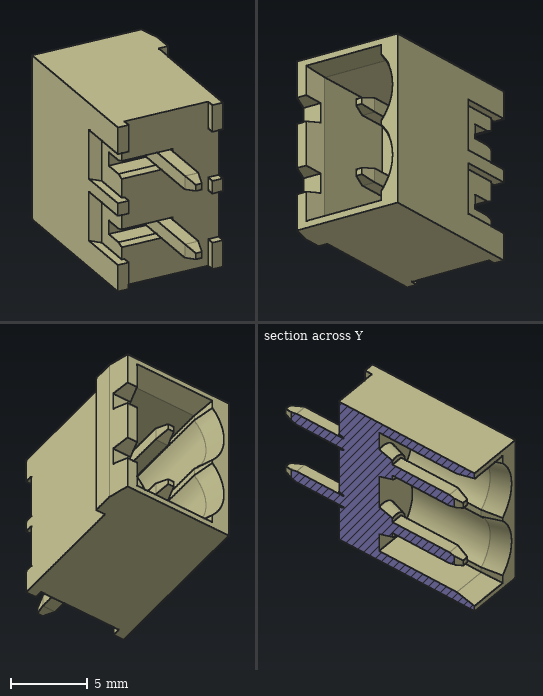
import cadquery as cq
import math


TOTAL_LENGTH = 16.0
HOUSING_LENGTH = 12.0
HOUSING_HEIGHT = 12.0
HOUSING_WIDTH = 7.8
RIDGE_HEIGHT = 0.7
RIDGE_LENGTH = 3.0
PITCH = 5.0
PIN_Y = 3.87
PIN_LEVELS = (-PITCH / 2, PITCH / 2)

LEAD_IN_LENGTH = 1.5
LEAD_IN_DRAFT = 0.4
CAVITY_DEPTH = 8.0
MOUTH_HEIGHT = 11.02
MOUTH_LOW_Y = 1.33
MOUTH_HIGH_Y = 7.35
LOBE_RADIUS = MOUTH_HIGH_Y - PIN_Y

NOTCH_MOUTH_WIDTH = 1.85
NOTCH_FLOOR_WIDTH = 1.38
NOTCH_DEPTH = 1.2

REAR_RECESS_DEPTH = 0.6
REAR_LIP = 0.8
WINDOW_START = 7.95
WINDOW_DEPTH = 0.6
WINDOW_SLOPE_LENGTH = 0.67
WINDOW_END_WALL = 1.95
WINDOW_RIB = 0.93

PIN_SIZE = 1.0
PIN_TIP_SIZE = 0.45
PIN_TAPER = 1.04
PIN_START = 1.09
SLOT_START = 9.58
SLOT_FLARE_LENGTH = 0.46
SLOT_FLARE_WIDTH = 1.31
COLLAR_BASE_RADIUS = 1.25
COLLAR_TOP_RADIUS = 0.91
COLLAR_HEIGHT = 1.12

RECESS_X = HOUSING_LENGTH - REAR_RECESS_DEPTH
RIDGE_Y = HOUSING_WIDTH + RIDGE_HEIGHT


def box(x_range, y_range, z_range):
    """Axis-aligned block given by its lower and upper limits."""
    (x0, x1), (y0, y1), (z0, z1) = x_range, y_range, z_range
    return cq.Workplane("XY").box(x1 - x0, y1 - y0, z1 - z0, centered=False).translate((x0, y0, z0))


def housing_block():
    """Outer body with the chamfered latch ridge, as one profile along Z."""
    profile = [
        (0, 0),
        (HOUSING_LENGTH, 0),
        (HOUSING_LENGTH, HOUSING_WIDTH),
        (RIDGE_LENGTH, HOUSING_WIDTH),
        (RIDGE_LENGTH, RIDGE_Y),
        (LEAD_IN_LENGTH, RIDGE_Y),
        (0, RIDGE_Y - LEAD_IN_DRAFT),
    ]
    return cq.Workplane("XY").polyline(profile).close().extrude(HOUSING_HEIGHT / 2, both=True)


def cavity_section(workplane, inset):
    """Cavity outline on a YZ plane, with every wall moved inward by the inset."""
    low_y = MOUTH_LOW_Y + inset
    high_y = MOUTH_HIGH_Y - inset
    top = MOUTH_HEIGHT / 2 - inset
    radius = LOBE_RADIUS - inset
    half_chord = math.sqrt(radius ** 2 - (PIN_Y - low_y) ** 2)
    section = workplane.moveTo(high_y, -top).lineTo(low_y, -top)
    for level in PIN_LEVELS:
        section = section.lineTo(low_y, level - half_chord)
        section = section.threePointArc((PIN_Y - radius, level), (low_y, level + half_chord))
    return section.lineTo(low_y, top).lineTo(high_y, top).close()


def cavity():
    """Flared mouth followed by the straight cavity."""
    mouth = cavity_section(cq.Workplane("YZ"), 0).workplane(offset=LEAD_IN_LENGTH)
    flare = cavity_section(mouth, LEAD_IN_DRAFT).loft(ruled=True)
    inner_plane = cq.Workplane("YZ", origin=(LEAD_IN_LENGTH, 0, 0))
    return flare.union(cavity_section(inner_plane, LEAD_IN_DRAFT).extrude(CAVITY_DEPTH - LEAD_IN_LENGTH))


def latch_notch(level):
    """Notch through the +Y wall, narrowing away from the mouth."""
    profile = [
        (0, level - NOTCH_MOUTH_WIDTH / 2),
        (NOTCH_DEPTH, level - NOTCH_FLOOR_WIDTH / 2),
        (NOTCH_DEPTH, level + NOTCH_FLOOR_WIDTH / 2),
        (0, level + NOTCH_MOUTH_WIDTH / 2),
    ]
    plane = cq.Workplane("XZ", origin=(0, RIDGE_Y, 0))
    return plane.polyline(profile).close().extrude(RIDGE_Y - PIN_Y)


def rear_recess():
    """Full-height step in the rear face between the two lips."""
    half_height = HOUSING_HEIGHT / 2
    return box(
        (RECESS_X, HOUSING_LENGTH),
        (REAR_LIP, HOUSING_WIDTH - REAR_LIP),
        (-half_height, half_height),
    )


def side_window(side):
    """Slope-ended window in the -Y side whose rear gap passes through both lips."""
    profile = [
        (WINDOW_START, 0),
        (WINDOW_START + WINDOW_SLOPE_LENGTH, WINDOW_DEPTH),
        (RECESS_X, WINDOW_DEPTH),
        (RECESS_X, HOUSING_WIDTH),
        (HOUSING_LENGTH, HOUSING_WIDTH),
        (HOUSING_LENGTH, 0),
    ]
    height = (HOUSING_HEIGHT - WINDOW_RIB) / 2 - WINDOW_END_WALL
    middle = side * (WINDOW_RIB + height) / 2
    plane = cq.Workplane("XY", origin=(0, 0, middle))
    return plane.polyline(profile).close().extrude(height / 2, both=True)


def pin_slot(level):
    """Slot from the window floor to the far side of the pin, flared at the rear."""
    profile = [
        (SLOT_START, level - PIN_SIZE / 2),
        (RECESS_X - SLOT_FLARE_LENGTH, level - PIN_SIZE / 2),
        (RECESS_X, level - SLOT_FLARE_WIDTH / 2),
        (RECESS_X, level + SLOT_FLARE_WIDTH / 2),
        (RECESS_X - SLOT_FLARE_LENGTH, level + PIN_SIZE / 2),
        (SLOT_START, level + PIN_SIZE / 2),
    ]
    return cq.Workplane("XZ").polyline(profile).close().extrude(-(PIN_Y + PIN_SIZE / 2))


def collar(level):
    """Conical collar around a pin on the cavity floor."""
    base = cq.Workplane("YZ", origin=(CAVITY_DEPTH, PIN_Y, level)).circle(COLLAR_BASE_RADIUS)
    return base.workplane(offset=-COLLAR_HEIGHT).circle(COLLAR_TOP_RADIUS).loft()


def pin(level):
    """Straight square pin with a tapered tip at each end."""
    def tip(shoulder_x, outward):
        base = cq.Workplane("YZ", origin=(shoulder_x, PIN_Y, level)).rect(PIN_SIZE, PIN_SIZE)
        return base.workplane(offset=outward * PIN_TAPER).rect(PIN_TIP_SIZE, PIN_TIP_SIZE).loft()

    shank_start = PIN_START + PIN_TAPER
    shank_end = TOTAL_LENGTH - PIN_TAPER
    shank_plane = cq.Workplane("YZ", origin=(shank_start, PIN_Y, level))
    shank = shank_plane.rect(PIN_SIZE, PIN_SIZE).extrude(shank_end - shank_start)
    return shank.union(tip(shank_start, -1)).union(tip(shank_end, 1))


result = housing_block().cut(cavity()).cut(rear_recess())
for side in (-1, 1):
    result = result.cut(side_window(side))
for level in PIN_LEVELS:
    result = result.cut(latch_notch(level)).cut(pin_slot(level))
    result = result.union(collar(level)).union(pin(level))